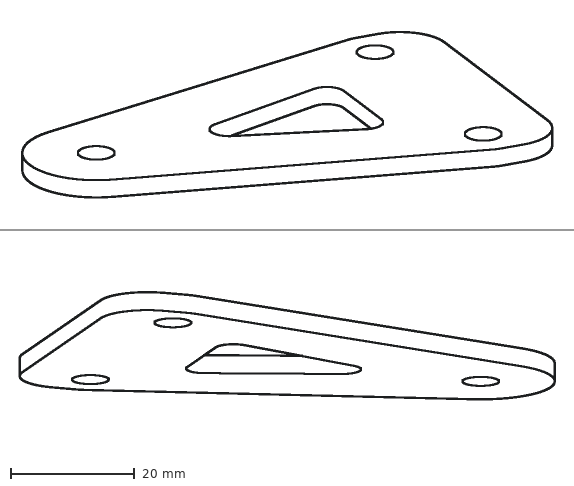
import cadquery as cq
import math

length = 84.0
width = 54.0
thickness = 3.0
top_corner_radius = 8.0
nose_radius = 12.0

hole_diameter = 6.0
hole_spacing = 40.0
hole_inset = 12.0

window_corner_radius = 3.0
window_center_spacing = 13.9
window_top_inset = 24.0
window_bottom_inset = 51.2

top_y = length / 2
half_width = width / 2
upper_hole_y = top_y - hole_inset
nose_y = -top_y + nose_radius
lower_hole_y = -top_y + hole_inset
half_spacing = hole_spacing / 2

shoulder_radius = half_width - half_spacing


def point_on_arc(center_x, center_y, radius, angle):
    return (center_x + radius * math.cos(angle), center_y + radius * math.sin(angle))


def mirrored(point):
    return (-point[0], point[1])


def make_plate():
    rise = upper_hole_y - nose_y
    center_distance = math.hypot(half_spacing, rise)
    normal_angle = math.atan2(rise, half_spacing) - math.acos(
        (nose_radius - shoulder_radius) / center_distance
    )

    shoulder_start = (half_width, upper_hole_y)
    shoulder_mid = point_on_arc(half_spacing, upper_hole_y, shoulder_radius, normal_angle / 2)
    shoulder_end = point_on_arc(half_spacing, upper_hole_y, shoulder_radius, normal_angle)
    nose_start = point_on_arc(0, nose_y, nose_radius, normal_angle)

    return (
        cq.Workplane("XY")
        .moveTo(-half_width, top_y)
        .lineTo(half_width, top_y)
        .lineTo(*shoulder_start)
        .threePointArc(shoulder_mid, shoulder_end)
        .lineTo(*nose_start)
        .threePointArc((0, nose_y - nose_radius), mirrored(nose_start))
        .lineTo(*mirrored(shoulder_end))
        .threePointArc(mirrored(shoulder_mid), mirrored(shoulder_start))
        .close()
        .extrude(thickness)
        .edges("|Z and >Y")
        .fillet(top_corner_radius)
    )


def make_holes():
    centers = [
        (-half_spacing, upper_hole_y),
        (half_spacing, upper_hole_y),
        (0, lower_hole_y),
    ]
    return cq.Workplane("XY").pushPoints(centers).circle(hole_diameter / 2).extrude(thickness)


def make_window():
    upper_center_y = top_y - window_top_inset - window_corner_radius
    lower_center_y = top_y - window_bottom_inset + window_corner_radius
    corner_centers = [
        (-window_center_spacing / 2, upper_center_y),
        (window_center_spacing / 2, upper_center_y),
        (0, lower_center_y),
    ]
    return (
        cq.Workplane("XY")
        .polyline(corner_centers)
        .close()
        .offset2D(window_corner_radius, "arc")
        .extrude(thickness)
    )


result = make_plate().cut(make_holes()).cut(make_window())